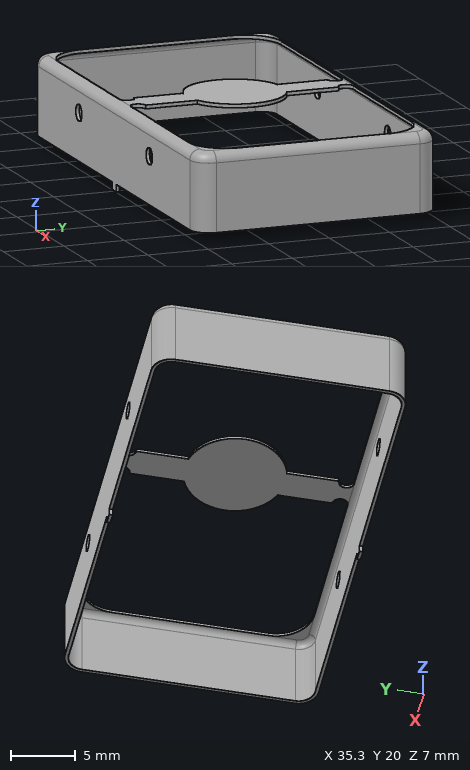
import cadquery as cq

length = 35.3
width = 20.0
total_height = 7.0
sheet = 0.3
tab_width = 0.9
tab_drop = 0.6
frame_height = total_height - tab_drop

corner_radius = 1.6
top_edge_radius = 0.8
window_length = length - 2 * top_edge_radius
window_width = width - 2 * top_edge_radius
window_corner_radius = 3.0

disc_diameter = 8.0
bridge_width = 2.5
bridge_offset = 0.3
notch_radius = 0.6

hole_diameter = 1.3
hole_spacing = 14.95
hole_depth_from_top = 2.5


def rounded_block(inset):
    """Block set inward from the outer faces, rounded at its corners and top edge."""
    return (
        cq.Workplane("XY")
        .box(length - 2 * inset, width - 2 * inset, frame_height - inset, centered=(True, True, False))
        .edges("|Z").fillet(corner_radius - inset)
        .faces(">Z").edges().fillet(top_edge_radius - inset)
    )


def window():
    """Rounded opening cut through the top sheet."""
    return (
        cq.Workplane("XY", origin=(0, 0, frame_height - 2 * sheet))
        .rect(window_length, window_width)
        .extrude(3 * sheet)
        .edges("|Z").fillet(window_corner_radius)
    )


def bridge():
    """Disc on a notched strip joining the two long sides of the top sheet."""
    top = cq.Workplane("XY", origin=(0, 0, frame_height - sheet))
    strip = top.center(bridge_offset, 0).rect(bridge_width, window_width).extrude(sheet)
    notch_y = window_width / 2 - notch_radius
    notches = (
        top.center(bridge_offset, 0)
        .rect(bridge_width, 2 * notch_y, forConstruction=True)
        .vertices()
        .circle(notch_radius)
        .extrude(sheet)
    )
    disc = top.circle(disc_diameter / 2).extrude(sheet)
    return strip.cut(notches).union(disc)


def wall_holes():
    """Pair of round cutters passing through both long walls."""
    return (
        cq.Workplane("XZ", origin=(0, 0, frame_height - hole_depth_from_top))
        .pushPoints([(-hole_spacing / 2, 0), (hole_spacing / 2, 0)])
        .circle(hole_diameter / 2)
        .extrude(width, both=True)
    )


def tabs():
    """Small tabs below the middle of each long wall, overlapping it by their own drop."""
    tab_y = (width - sheet) / 2
    return (
        cq.Workplane("XY", origin=(0, 0, -tab_drop))
        .pushPoints([(0, -tab_y), (0, tab_y)])
        .rect(tab_width, sheet)
        .extrude(2 * tab_drop)
    )


shell = rounded_block(0).cut(rounded_block(sheet))
result = shell.cut(window()).cut(wall_holes()).union(bridge()).union(tabs())